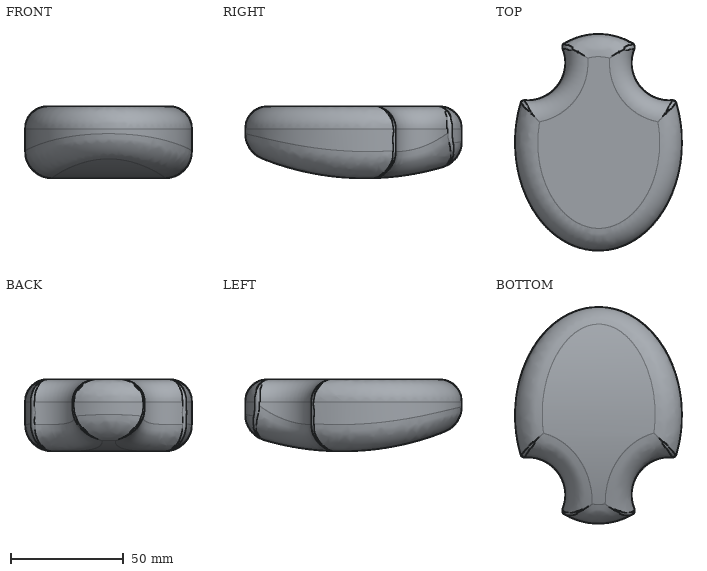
import cadquery as cq
import math

HALF_WIDTH = 37.0
HALF_LENGTH = 48.0
BITE_RADIUS = 16.5
BITE_X = 31.25
BITE_Y = 35.15

HEIGHT = 32.0
BELLY_RADIUS = 122.0
BELLY_Y = 5.0

TOP_FILLET = 10.0
BOTTOM_FILLET = 12.0
CORNER_FILLET = 2.0

SMALLEST_CORNER_ANGLE = math.radians(15)
SAMPLES_PER_EDGE = 5
MIN_SECTION_GAP = 2.0
CUTTER_REACH = 1.5
ARC_END_LIFT = 0.03


def make_pebble(inset=0.0):
    """Filleted body with sharp bite corners, with every surface moved inward by inset."""
    block = cq.Workplane("XY").ellipse(HALF_WIDTH, HALF_LENGTH)
    if inset > 0:
        block = block.offset2D(-inset)
    block = block.extrude(HEIGHT - inset)
    belly = (
        cq.Workplane("YZ")
        .center(BELLY_Y, BELLY_RADIUS)
        .circle(BELLY_RADIUS - inset)
        .extrude(HALF_WIDTH * 2, both=True)
    )
    bites = (
        cq.Workplane("XY")
        .pushPoints([(-BITE_X, BITE_Y), (BITE_X, BITE_Y)])
        .circle(BITE_RADIUS + inset)
        .extrude(HEIGHT)
    )
    pebble = block.intersect(belly).cut(bites)
    pebble = pebble.faces(">Z").edges().fillet(TOP_FILLET - inset)
    return pebble.faces("<Z").edges().fillet(BOTTOM_FILLET - inset)


def crease_points(core):
    """Ball centres on the left creases of the core, each with its two wall normals, bottom to top."""
    faces = core.val().Faces()
    points = []
    for edge in core.val().Edges():
        neighbours = [f for f in faces if any(e.isSame(edge) for e in f.Edges())]
        if edge.Center().x > 0 or len(neighbours) != 2:
            continue
        for i in range(SAMPLES_PER_EDGE):
            centre = edge.positionAt((i + 0.5) / SAMPLES_PER_EDGE)
            first, second = [f.normalAt(centre) for f in neighbours]
            if first.getAngle(second) < SMALLEST_CORNER_ANGLE:
                continue
            if first.cross(second).z < 0:
                first, second = second, first
            points.append((centre, first, second))
    return sorted(points, key=lambda point: point[0].z)


def thin_out(points):
    """Drop points that lie too close to the one before."""
    kept = points[:1]
    for point in points[1:]:
        if (point[0] - kept[-1][0]).Length >= MIN_SECTION_GAP:
            kept.append(point)
    return kept


def cutter_section(centre, first, second):
    """Outline of the waste outside the ball: an arc on the ball, closed outside the body."""
    bisector = (first + second).normalized()
    start = centre + first * (CORNER_FILLET + ARC_END_LIFT)
    middle = centre + bisector * CORNER_FILLET
    end = centre + second * (CORNER_FILLET + ARC_END_LIFT)
    outer_start = start + first * CUTTER_REACH
    outer_end = end + second * CUTTER_REACH
    apex_distance = (CORNER_FILLET + CUTTER_REACH) / math.cos(first.getAngle(second) / 2)
    apex = centre + bisector * apex_distance
    return cq.Wire.assembleEdges(
        [
            cq.Edge.makeThreePointArc(start, middle, end),
            cq.Edge.makeLine(end, outer_end),
            cq.Edge.makeLine(outer_end, apex),
            cq.Edge.makeLine(apex, outer_start),
            cq.Edge.makeLine(outer_start, start),
        ]
    )


def round_corners(body):
    """Round the four creases where the bites meet the elliptical wall."""
    points = crease_points(make_pebble(CORNER_FILLET))
    neck_points = [point for point in points if point[0].y > BITE_Y]
    shoulder_points = [point for point in points if point[0].y < BITE_Y]
    cutters = []
    for corner in (neck_points, shoulder_points):
        cutter = cq.Solid.makeLoft([cutter_section(*point) for point in thin_out(corner)])
        cutters += [cutter, cutter.mirror("YZ")]
    return body.cut(cq.Workplane(cq.Compound.makeCompound(cutters)))


result = round_corners(make_pebble()).solids()